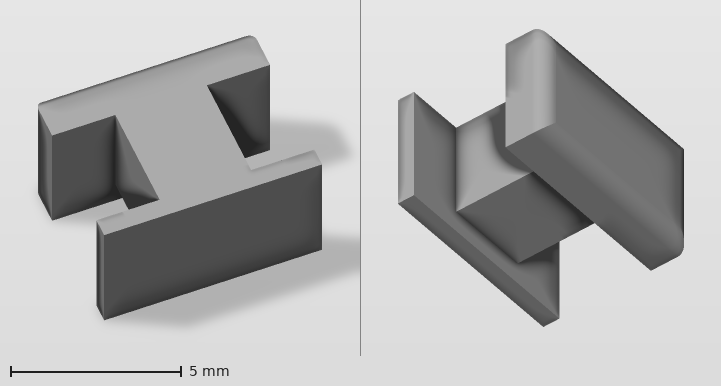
import cadquery as cq

length_x = 5.5
width_y = 6.9
height_z = 4.05

front_plate_thickness = 1.5
rear_plate_thickness = 0.6
web_width = 2.9
web_bottom_gap = 0.75
front_edge_radius = 0.5

web_length = length_x - front_plate_thickness - rear_plate_thickness
web_height = height_z - web_bottom_gap


def block(x_start, z_start, size_x, size_y, size_z):
    """Box centred on Y, starting at the given X and Z."""
    return (
        cq.Workplane("XY")
        .box(size_x, size_y, size_z, centered=(False, True, False))
        .translate((x_start, 0, z_start))
    )


front_plate = (
    block(0, 0, front_plate_thickness, width_y, height_z)
    .faces("<X")
    .edges()
    .fillet(front_edge_radius)
)

web = block(front_plate_thickness, web_bottom_gap, web_length, web_width, web_height)

rear_plate = block(length_x - rear_plate_thickness, 0, rear_plate_thickness, width_y, height_z)

result = front_plate.union(web).union(rear_plate)